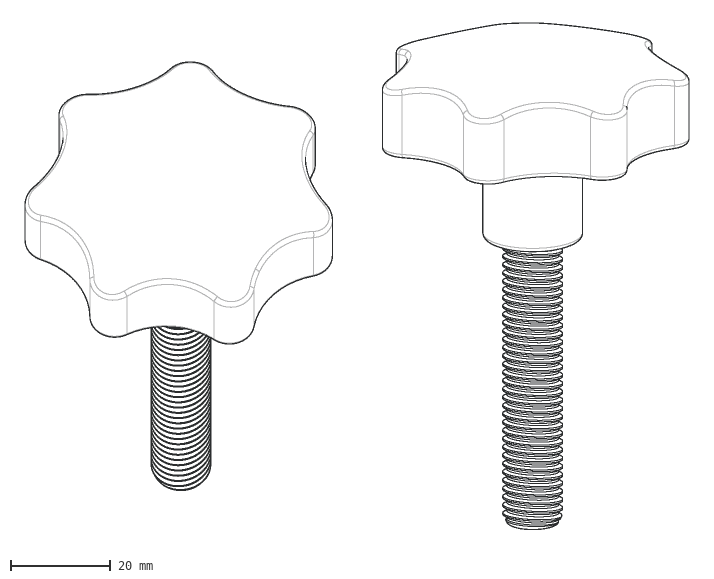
import cadquery as cq
import math

total_height = 100.0
stud_length = 60.0
hub_length = 21.0

lobe_count = 7
lobe_centre_radius = 26.5
lobe_radius = 5.0
valley_distance = 25.4
dome_radius = 95.0
grip_edge_fillet = 1.0

hub_diameter = 20.0
hub_edge_fillet = 1.0

thread_diameter = 12.0
thread_pitch = 7.0 / 4
thread_depth = 0.8
thread_flank_angle = 30.0
tip_chamfer_height = 1.6

hub_bottom = stud_length
grip_bottom = hub_bottom + hub_length
lobe_step = 360.0 / lobe_count


def polar(radius, degrees):
    """Point at a distance from the axis, angle measured from +Y."""
    angle = math.radians(degrees)
    return (-radius * math.sin(angle), radius * math.cos(angle))


def lobed_outline():
    """Closed star outline: convex lobe arcs tangent to concave valley arcs."""
    half_step = math.radians(lobe_step / 2)
    lobe_along = lobe_centre_radius * math.cos(half_step)
    lobe_across = lobe_centre_radius * math.sin(half_step)
    offset = valley_distance - lobe_along
    valley_radius = (offset**2 + lobe_across**2 - lobe_radius**2) / (2 * (lobe_radius - offset))
    share = valley_radius / (valley_radius + lobe_radius)
    valley_centre = valley_distance + valley_radius
    tangent_along = valley_centre + share * (lobe_along - valley_centre)
    tangent_across = share * lobe_across
    tangent_radius = math.hypot(tangent_along, tangent_across)
    tangent_angle = lobe_step / 2 - math.degrees(math.atan2(tangent_across, tangent_along))

    outline = cq.Workplane("XY").workplane(offset=grip_bottom)
    outline = outline.moveTo(*polar(tangent_radius, -tangent_angle))
    for index in range(lobe_count):
        lobe_angle = index * lobe_step
        outline = outline.threePointArc(
            polar(lobe_centre_radius + lobe_radius, lobe_angle),
            polar(tangent_radius, lobe_angle + tangent_angle),
        )
        outline = outline.threePointArc(
            polar(valley_distance, lobe_angle + lobe_step / 2),
            polar(tangent_radius, lobe_angle + lobe_step - tangent_angle),
        )
    return outline.close()


def make_grip():
    """Star-shaped grip with a spherical top and rounded rims."""
    prism = lobed_outline().extrude(total_height - grip_bottom)
    dome = cq.Workplane("XY").sphere(dome_radius).translate((0, 0, total_height - dome_radius))
    grip = prism.intersect(dome)
    return grip.faces("<Z or >Z").edges().fillet(grip_edge_fillet)


def make_hub():
    """Round hub with a rounded lower rim."""
    hub = cq.Workplane("XY").workplane(offset=hub_bottom).circle(hub_diameter / 2).extrude(hub_length)
    return hub.faces("<Z").edges().fillet(hub_edge_fillet)


def make_stud():
    """Stud whose thread is a row of closed V grooves, each dropping by one pitch from +Y to -Y."""
    crest_radius = thread_diameter / 2
    root_radius = crest_radius - thread_depth
    root_half_width = thread_pitch / 8
    flank_slope = math.tan(math.radians(thread_flank_angle))
    cutter_radius = crest_radius + thread_depth / 4
    cutter_half_width = root_half_width + (cutter_radius - root_radius) * flank_slope
    tilt = math.degrees(math.atan(thread_pitch / thread_diameter))

    stud = cq.Workplane("XY").circle(crest_radius).extrude(stud_length)
    stud = stud.faces("<Z").chamfer(tip_chamfer_height, thread_depth)

    groove = (
        cq.Workplane("XZ")
        .moveTo(root_radius, -root_half_width)
        .lineTo(cutter_radius, -cutter_half_width)
        .lineTo(cutter_radius, cutter_half_width)
        .lineTo(root_radius, root_half_width)
        .close()
        .revolve(360, (0, 0), (0, 1))
        .rotate((0, 0, 0), (1, 0, 0), tilt)
    )
    groove_count = math.floor(stud_length / thread_pitch) + 1
    for index in range(groove_count):
        stud = stud.cut(groove.translate((0, 0, stud_length - index * thread_pitch)))
    return stud


result = make_grip().union(make_hub()).union(make_stud())